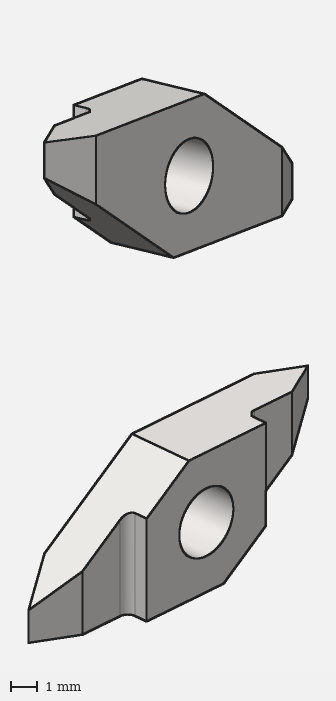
import cadquery as cq
import math

length = 15.0
height = 6.0
width = 3.0

end_height = 1.4
slope_angle = math.radians(35)

hole_diameter = 2.9

seat_length = 6.4
seat_height = 1.0
corner_radius = 0.4

tip_length = 1.875

half_length = length / 2
half_height = height / 2
seat_face = -width / 2
far_face = width / 2
blade_face = seat_face + seat_height
blade_middle = (blade_face + far_face) / 2


def side_profile():
    """Plate with the side outline, extruded across the full width."""
    slope_run = (height - end_height) / math.tan(slope_angle)
    slope_end = half_length - slope_run
    points = [
        (half_length, -half_height),
        (half_length, -half_height + end_height),
        (slope_end, half_height),
        (-half_length, half_height),
        (-half_length, half_height - end_height),
        (-slope_end, -half_height),
    ]
    return cq.Workplane("YZ", origin=(seat_face, 0, 0)).polyline(points).close().extrude(width)


def plan_profile():
    """Plan outline with the seat and both pointed blades, extruded over the full height."""
    seat_end = seat_length / 2
    shoulder = half_length - tip_length
    fillet_end = seat_end + corner_radius
    fillet_start = blade_face - corner_radius
    outline = (
        cq.Workplane("XY", origin=(0, 0, -half_height))
        .moveTo(seat_face, -seat_end)
        .lineTo(seat_face, seat_end)
        .lineTo(fillet_start, seat_end)
        .radiusArc((blade_face, fillet_end), -corner_radius)
        .lineTo(blade_face, shoulder)
        .lineTo(blade_middle, half_length)
        .lineTo(far_face, shoulder)
        .lineTo(far_face, -shoulder)
        .lineTo(blade_middle, -half_length)
        .lineTo(blade_face, -shoulder)
        .lineTo(blade_face, -fillet_end)
        .radiusArc((fillet_start, -seat_end), -corner_radius)
        .close()
    )
    return outline.extrude(height)


def centre_hole():
    """Cylinder through the full width, along X."""
    return cq.Workplane("YZ", origin=(seat_face, 0, 0)).circle(hole_diameter / 2).extrude(width)


result = side_profile().intersect(plan_profile()).cut(centre_hole())